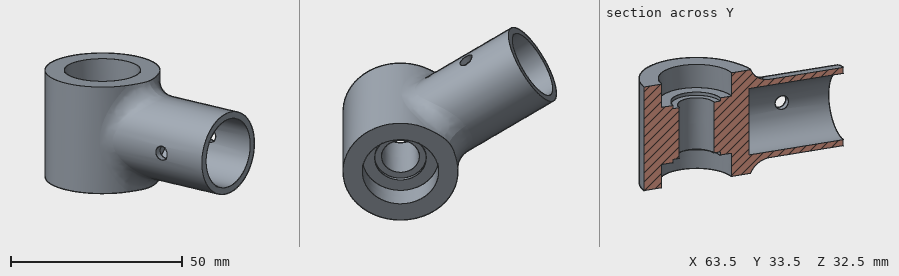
import cadquery as cq

head_diameter = 33.5
head_height = 32.5
seat_diameter = 22.2
seat_depth = 7.25
relief_diameter = 15.0
relief_depth = 1.0
shaft_hole_diameter = 11.0

arm_diameter = 24.6
arm_reach = 30.0
socket_diameter = 20.6
pin_hole_diameter = 4.2
pin_hole_setback = arm_reach / 2
blend_radius = 6.5

head_radius = head_diameter / 2
arm_end_x = head_radius + arm_reach


def upright_cylinder(diameter, height, centre_z=0.0):
    cylinder = cq.Workplane("XY").circle(diameter / 2).extrude(height / 2, both=True)
    return cylinder.translate((0, 0, centre_z))


def arm_cylinder(diameter, start_x):
    return cq.Workplane("YZ", origin=(start_x, 0, 0)).circle(diameter / 2).extrude(arm_end_x - start_x)


def blended_body():
    tall_height = head_height + 4 * blend_radius
    tall_head = upright_cylinder(head_diameter, tall_height)
    body = tall_head.union(arm_cylinder(arm_diameter, 0.0))
    junction = body.edges("not(%LINE or %CIRCLE)")
    body = junction.fillet(blend_radius)
    trim = cq.Workplane("XY").box(4 * arm_end_x, 2 * head_diameter, head_height)
    return body.intersect(trim)


def bearing_bore(side):
    """Bearing seat and inner-race relief at one end: side is +1 for the top, -1 for the bottom."""
    face_z = side * head_height / 2
    total_depth = seat_depth + relief_depth
    seat = upright_cylinder(seat_diameter, seat_depth, face_z - side * seat_depth / 2)
    relief = upright_cylinder(relief_diameter, total_depth, face_z - side * total_depth / 2)
    return seat.union(relief)


def pin_hole():
    centre = (arm_end_x - pin_hole_setback, 0, 0)
    hole = cq.Workplane("XZ", origin=centre).circle(pin_hole_diameter / 2)
    return hole.extrude(arm_diameter, both=True)


result = blended_body()
for side in (1, -1):
    result = result.cut(bearing_bore(side))
result = result.cut(upright_cylinder(shaft_hole_diameter, head_height))
result = result.cut(arm_cylinder(socket_diameter, head_radius))
result = result.cut(pin_hole())